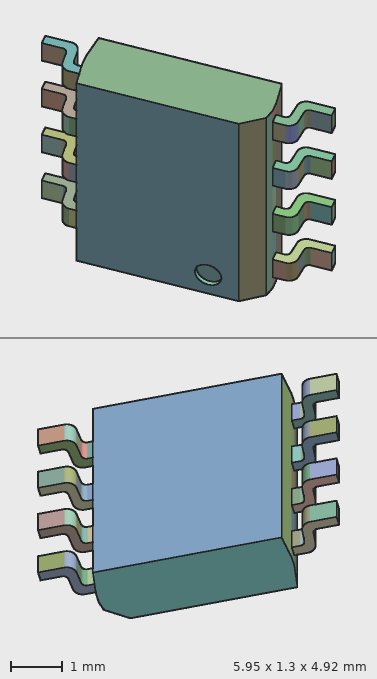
import cadquery as cq
import math


body_length = 4.92
body_height = 1.30
face_half_width = 1.88
waist_half_width = 1.95
marked_face = -body_height / 2
seating_face = body_height / 2

bevel_face_x = 1.45
bevel_side_x = 1.90
bevel_depth = 0.33

dimple_diameter = 0.54
dimple_x = 0.82
dimple_z = -1.94
dimple_depth = 0.10

lead_span = 5.95
lead_thickness = 0.21
lead_width = 0.49
lead_pitch = 1.27
leads_per_side = 4
riser_x = 2.45
riser_thickness = 0.205
riser_lean = math.radians(5)
inner_bend_radius = 0.10
outer_bend_radius = 0.20
lead_embed = 0.20

waist_half_height = lead_thickness / 2


def make_body():
    """Prism along Z with tapered sides, a flat waist band and one bevel."""
    outline = [
        (-face_half_width, seating_face),
        (face_half_width, seating_face),
        (waist_half_width, waist_half_height),
        (waist_half_width, -waist_half_height),
        (bevel_side_x, marked_face + bevel_depth),
        (bevel_face_x, marked_face),
        (-face_half_width, marked_face),
        (-waist_half_width, -waist_half_height),
        (-waist_half_width, waist_half_height),
    ]
    return cq.Workplane("XY").polyline(outline).close().extrude(body_length / 2, both=True)


def make_dimple():
    """Shallow round recess cutter; the XZ workplane normal points to -Y."""
    return (
        cq.Workplane("XZ", origin=(0, marked_face, 0))
        .center(dimple_x, dimple_z)
        .circle(dimple_diameter / 2)
        .extrude(-dimple_depth)
    )


def make_lead():
    """One lead on the +X side, centred on Z = 0, with its four bends rounded."""
    foot_inside = seating_face - lead_thickness

    def riser_outer_x(y):
        return riser_x + (y - foot_inside) * math.tan(riser_lean)

    def riser_inner_x(y):
        return riser_outer_x(y) - riser_thickness

    foot_outer_bend = (riser_inner_x(seating_face), seating_face)
    foot_inner_bend = (riser_outer_x(foot_inside), foot_inside)
    shoulder_outer_bend = (riser_outer_x(-waist_half_height), -waist_half_height)
    shoulder_inner_bend = (riser_inner_x(waist_half_height), waist_half_height)
    root_x = waist_half_width - lead_embed
    tip_x = lead_span / 2

    outline = [
        (root_x, waist_half_height),
        shoulder_inner_bend,
        foot_outer_bend,
        (tip_x, seating_face),
        (tip_x, foot_inside),
        foot_inner_bend,
        shoulder_outer_bend,
        (root_x, -waist_half_height),
    ]
    lead = cq.Workplane("XY").polyline(outline).close().extrude(lead_width / 2, both=True)

    bends = [
        (foot_outer_bend, outer_bend_radius),
        (foot_inner_bend, inner_bend_radius),
        (shoulder_outer_bend, outer_bend_radius),
        (shoulder_inner_bend, inner_bend_radius),
    ]
    for (x, y), radius in bends:
        lead = lead.edges(cq.selectors.NearestToPointSelector((x, y, 0))).fillet(radius)
    return lead


def add_leads(body):
    """Join both rows of leads to the body."""
    right_lead = make_lead()
    left_lead = right_lead.mirror("YZ")
    for index in range(leads_per_side):
        z = (index - (leads_per_side - 1) / 2) * lead_pitch
        for lead in (right_lead, left_lead):
            body = body.union(lead.translate((0, 0, z)))
    return body


result = add_leads(make_body()).cut(make_dimple())